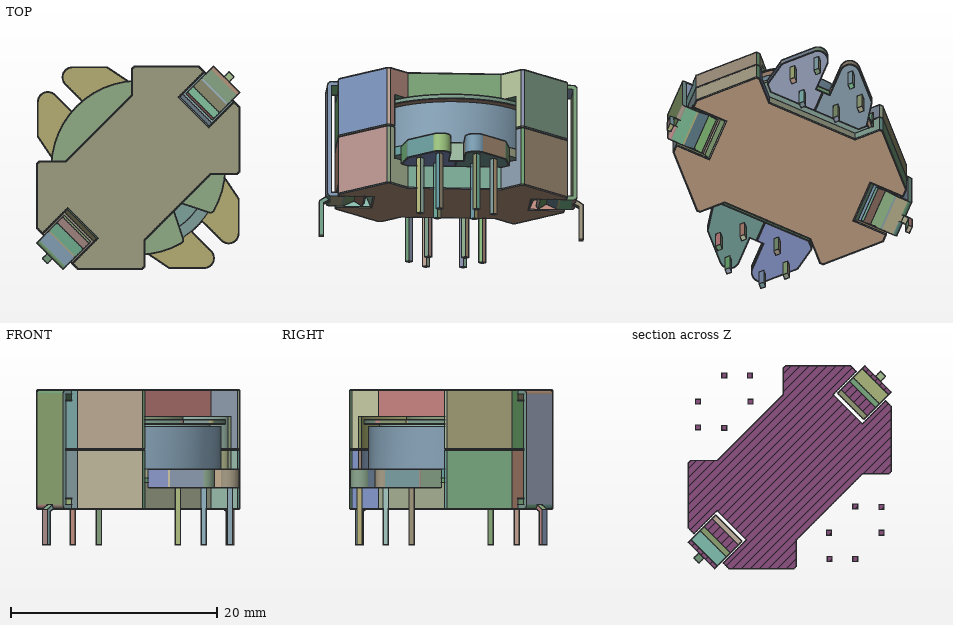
import cadquery as cq
import math

ROOT2 = math.sqrt(2)

core_height = 11.63
core_half_span = 9.85
core_half_length = 11.12
core_half_waist = 5.44
shoulder = 0.65
core_edge = 0.1
shoulder_corner = 0.25
parting_z = core_height / 2
window_floor = 2.63
winding_space_radius = 8.7
post_radius = 8.7 / 2
leg_flank = 5.88

recess_half_width = 2.0
recess_inner = 7.67
recess_floor_inner = 8.1
recess_depth = 1.03

clip_width = 3.62
clip_thickness = 0.4
clip_outer = 12.12
clip_bend = 0.4
clip_fold = 10.37
clip_fold_width = 0.16
clip_fold_drop = 0.03
clip_valley = 9.33
clip_tip = 8.55
clip_inset = 0.06
clip_dip = 0.52
tongue_slope = 33
clip_pin_width = 0.7
clip_pin_outer = 12.8

flange_radius = 8.45
flange_edge = 0.06
top_flange_bottom = 8.25
top_flange_top = 8.72
bottom_flange_bottom = 3.06
bottom_flange_top = 3.93
winding_top = 8.05
winding_radius = 16.05 / 2
inner_winding_radius = 13.89 / 2
lead_notch_apex = 4.4
lead_notch_half_angle = 26.5
lead_notch_round = 0.4

pad_bottom = 2.07
pad_reach = 9.76
pad_round = 1.0
pad_slot_half_width = 0.69
pad_slot_floor = 8.06
pad_inner = 6.0
pad_edge = 0.07
pad_side = 0.96
pad_knee = 3.0
pad_knee_round = 0.3
pin_pitch = 2.54
pin_size = 0.5
pin_grid_inner = 1.5 * pin_pitch
pin_grid_middle = 2.5 * pin_pitch
pin_grid_outer = 3.5 * pin_pitch
pin_shift = 0.05
overall_height = 15.07
pin_bottom = core_height - overall_height


def box(x0, x1, y0, y1, z0, z1):
    return cq.Workplane("XY").box(x1 - x0, y1 - y0, z1 - z0, centered=False).translate((x0, y0, z0))


def on_diagonal(shape):
    """Turn a shape built along X so that it lies along the X = Y diagonal."""
    return shape.rotate((0, 0, 0), (0, 0, 1), 45)


def both_ends(shape):
    return shape.union(shape.rotate((0, 0, 0), (0, 0, 1), 180))


def cylinder(radius, z0, z1):
    return cq.Workplane("XY").workplane(offset=z0).circle(radius).extrude(z1 - z0)


def clip_recess():
    """Cutter for the recess at the +X end: leaning back wall, bevelled floor edge at the core end."""
    far = 2 * core_half_length
    bevel_end = recess_depth + core_edge
    profile = [
        (recess_inner, 0),
        (far, 0),
        (far, bevel_end),
        (core_half_length, bevel_end),
        (core_half_length - core_edge, recess_depth),
        (recess_floor_inner, recess_depth),
    ]
    return cq.Workplane("XZ").polyline(profile).close().extrude(recess_half_width, both=True)


def core_half():
    """Lower core half with its winding space and clip recesses."""
    span = core_half_span
    end = core_half_length * ROOT2 - span
    waist = core_half_waist * ROOT2 - shoulder
    half_outline = [
        (span, end),
        (end, span),
        (-shoulder + shoulder_corner, span),
        (-shoulder, span - shoulder_corner),
        (-shoulder, waist),
        (-waist, shoulder),
        (-span + shoulder_corner, shoulder),
        (-span, shoulder - shoulder_corner),
    ]
    outline = half_outline + [(-x, -y) for x, y in half_outline]
    half = cq.Workplane("XY").polyline(outline).close().extrude(parting_z)
    winding_space = cylinder(winding_space_radius, window_floor, parting_z)
    window = box(-leg_flank, leg_flank, -core_half_span, core_half_span, window_floor, parting_z)
    half = half.cut(both_ends(on_diagonal(clip_recess()))).cut(winding_space).cut(on_diagonal(window))
    half = half.union(cylinder(post_radius, 0, parting_z))
    return half.faces("<Z or >Z").chamfer(core_edge)


def core():
    lower = core_half()
    return lower.union(lower.mirror("XY").translate((0, 0, core_height)))


def clip():
    """One spring clip at the +X end, with a dipped tongue at top and bottom and a solder pin."""
    top = core_height - clip_inset
    bottom = clip_inset
    middle = core_height / 2
    inner = clip_outer - clip_thickness
    under = top - clip_thickness
    slope = math.radians(tongue_slope)
    valley = top - clip_dip
    tip_z = valley + (clip_valley - clip_tip) * math.tan(slope)
    upper_outline = [
        (clip_outer, middle),
        (clip_outer, top),
        (clip_fold + clip_fold_width, top),
        (clip_fold, top - clip_fold_drop),
        (clip_valley, valley),
        (clip_tip, tip_z),
        (clip_tip - clip_thickness * math.sin(slope), tip_z - clip_thickness * math.cos(slope)),
        (clip_valley, valley - clip_thickness / math.cos(slope)),
        (clip_fold + clip_thickness * math.tan(slope / 2), under),
        (inner, under),
        (inner, middle),
    ]
    upper = cq.Workplane("XZ").polyline(upper_outline).close().extrude(clip_width / 2, both=True)
    upper = upper.edges(cq.selectors.NearestToPointSelector((clip_outer, 0, top))).fillet(clip_bend)
    lower = upper.mirror("XY").translate((0, 0, core_height))
    pin_inner = clip_pin_outer - clip_thickness
    pin_outline = [
        (inner, bottom),
        (inner, bottom + clip_thickness),
        (clip_outer, bottom + clip_thickness),
        (clip_pin_outer, 0),
        (clip_pin_outer, pin_bottom),
        (pin_inner, pin_bottom),
        (pin_inner, -clip_thickness / 2),
        (clip_outer - clip_thickness / 2, bottom),
    ]
    solder_pin = cq.Workplane("XZ").polyline(pin_outline).close().extrude(clip_pin_width / 2, both=True)
    return upper.union(lower).union(solder_pin)


def top_flange():
    """Thin disc with a V notch for the wire leads on the +X -Y side."""
    disc = cylinder(flange_radius, top_flange_bottom, top_flange_top)
    far = 2 * flange_radius
    half_far = (far - lead_notch_apex) * math.tan(math.radians(lead_notch_half_angle))
    notch = (
        cq.Workplane("XY").workplane(offset=top_flange_bottom)
        .polyline([(lead_notch_apex, 0), (far, half_far), (far, -half_far)]).close()
        .extrude(top_flange_top - top_flange_bottom)
    )
    disc = disc.cut(notch.rotate((0, 0, 0), (0, 0, 1), -45))
    rim_corners = [
        edge for edge in disc.edges("|Z").vals()
        if edge.Center().x > 0 > edge.Center().y
        and math.hypot(edge.Center().x, edge.Center().y) > winding_radius
    ]
    disc = disc.newObject(rim_corners).fillet(lead_notch_round)
    return disc.faces("<Z or >Z").chamfer(flange_edge)


def bobbin():
    """Two flanges on a solid drum that stands for the tube and the inner winding layers."""
    lower = cylinder(flange_radius, bottom_flange_bottom, bottom_flange_top)
    half_slot = pad_slot_half_width
    slot = box(pad_slot_floor, 2 * pad_slot_floor, -half_slot, half_slot, 0, bottom_flange_top)
    slots = both_ends(slot).rotate((0, 0, 0), (0, 0, 1), 135)
    drum = cylinder(inner_winding_radius, bottom_flange_bottom, top_flange_bottom)
    return lower.cut(slots).union(drum).union(top_flange())


def winding():
    """Outer winding layers, stopping short of the top flange."""
    return cylinder(winding_radius, bottom_flange_top, winding_top)


def pin(x, y):
    """Square solder pin reaching up into its pad."""
    half = pin_size / 2
    return box(x - half, x + half, y - half, y + half, pin_bottom, pad_bottom + pad_edge)


def from_diagonal(along, across):
    """X, Y of a point given by its distances along and across the -X +Y diagonal."""
    return ((across - along) / ROOT2, (across + along) / ROOT2)


def pin_pads():
    """Pair of pads on the -X +Y side, mirror images across the slot between them."""
    centre_y = pad_reach - pad_round
    centre_x = (pad_slot_half_width + pad_round) * ROOT2 - centre_y
    arc_turn = math.radians(67.5)
    slot_tangent = pad_round / ROOT2
    pad = (
        cq.Workplane("XY").workplane(offset=pad_bottom)
        .moveTo(-pad_side, pad_inner * ROOT2 - pad_side)
        .lineTo(-pad_side, math.sqrt(flange_radius**2 - pad_side**2))
        .lineTo(-pad_knee, pad_reach)
        .lineTo(centre_x, pad_reach)
        .threePointArc(
            (centre_x - pad_round * math.sin(arc_turn), centre_y + pad_round * math.cos(arc_turn)),
            (centre_x - slot_tangent, centre_y - slot_tangent),
        )
        .lineTo(*from_diagonal(pad_slot_floor, pad_slot_half_width))
        .lineTo(*from_diagonal(pad_slot_floor, 0))
        .lineTo(*from_diagonal(pad_inner, 0))
        .close()
        .extrude(bottom_flange_top - pad_bottom)
    )
    pad_middle = (pad_bottom + bottom_flange_top) / 2
    knee_edge = cq.selectors.NearestToPointSelector((-pad_knee, pad_reach, pad_middle))
    pad = pad.edges(knee_edge).fillet(pad_knee_round)
    pads = pad.union(pad.mirror("XZ").rotate((0, 0, 0), (0, 0, 1), 90))
    pads = pads.faces("<Z or >Z").chamfer(pad_edge)
    pin_places = [
        (pin_grid_inner + pin_shift, pin_grid_outer),
        (pin_grid_middle, pin_grid_outer),
        (pin_grid_inner, pin_grid_middle),
    ]
    for near, far in pin_places:
        pads = pads.union(pin(-near, far)).union(pin(-far, near))
    return pads


result = (
    core()
    .union(bobbin())
    .union(winding())
    .union(both_ends(pin_pads()))
    .union(both_ends(on_diagonal(clip())))
)